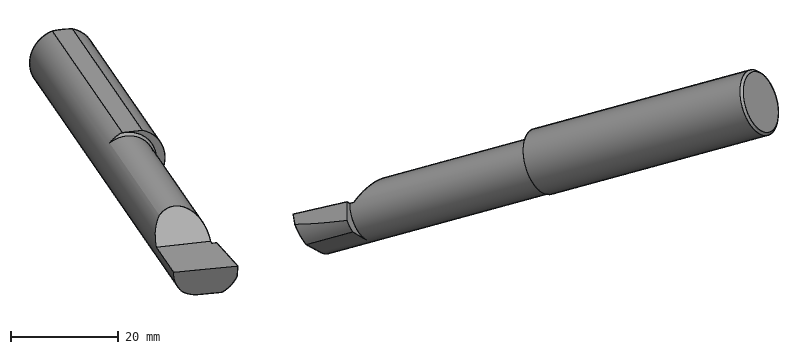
import cadquery as cq
import math

length = 101.6
shank_radius = 6.35
shank_length = 49.4
flat_height = 6.05
end_chamfer_length = 0.4
end_chamfer_depth = 0.5

neck_radius = 5.5
neck_offset = -1.3
neck_blend = 0.5

ramp_foot = 89.1
rake_height = 0.0

head_start = 90.0
head_heel_y = 5.1
head_tip_y = 6.0
front_lead_angle = 2.0
front_relief_angle = 10.0

clear = 20.3


def cylinder(radius, start, end, y=0.0):
    """Round bar along X between two stations."""
    return cq.Workplane("YZ", origin=(start, y, 0)).circle(radius).extrude(end - start)


def make_shank():
    """Shank with a chamfered rear end and a flat along its top."""
    profile = [
        (0, 0),
        (0, shank_radius - end_chamfer_depth),
        (end_chamfer_length, shank_radius),
        (shank_length, shank_radius),
        (shank_length, 0),
    ]
    body = cq.Workplane("XY").polyline(profile).close().revolve(360, (0, 0), (1, 0))
    above_flat = cq.Workplane("XY", origin=(0, 0, flat_height)).rect(2 * length, clear).extrude(clear)
    return body.cut(above_flat)


def make_neck():
    """Offset round neck, blended to the shank by a cone and kept inside the shank diameter."""
    profile = [
        (shank_length, 0),
        (shank_length, neck_radius + neck_blend),
        (shank_length + neck_blend, neck_radius),
        (length, neck_radius),
        (length, 0),
    ]
    body = cq.Workplane("XY").polyline(profile).close().revolve(360, (0, 0), (1, 0))
    return body.translate((0, neck_offset, 0)).intersect(cylinder(shank_radius, 0, length))


def make_head():
    """Cutting head widening toward its tip, rounded by the shank diameter and as deep as the neck."""
    outline = [
        (head_start, neck_offset),
        (head_start, head_heel_y),
        (length, head_tip_y),
        (length, neck_offset),
    ]
    body = cq.Workplane("XY", origin=(0, 0, -neck_radius)).polyline(outline).close()
    body = body.extrude(rake_height + neck_radius)
    return body.intersect(cylinder(shank_radius, 0, length))


def make_rake_cut():
    """Space above the rake face and the 45 degree ramp that runs up to the neck."""
    outline = [
        (ramp_foot, rake_height),
        (ramp_foot - clear, rake_height + clear),
        (length + clear, rake_height + clear),
        (length + clear, rake_height),
    ]
    return cq.Workplane("XZ").polyline(outline).close().extrude(clear, both=True)


def make_front_cut():
    """Space ahead of the end face, which slopes back downward and away from the cutting tip."""
    lean = clear * math.tan(math.radians(front_relief_angle))
    outline = [
        (length + lean, rake_height + clear),
        (length - lean, rake_height - clear),
        (length + clear, rake_height - clear),
        (length + clear, rake_height + clear),
    ]
    cutter = cq.Workplane("XZ").polyline(outline).close().extrude(clear, both=True)
    tip = (length, head_tip_y, rake_height)
    cutter = cutter.translate((0, head_tip_y, 0))
    return cutter.rotate(tip, (length, head_tip_y, rake_height + 1), -front_lead_angle)


result = make_shank().union(make_neck()).union(make_head())
result = result.cut(make_rake_cut()).cut(make_front_cut())